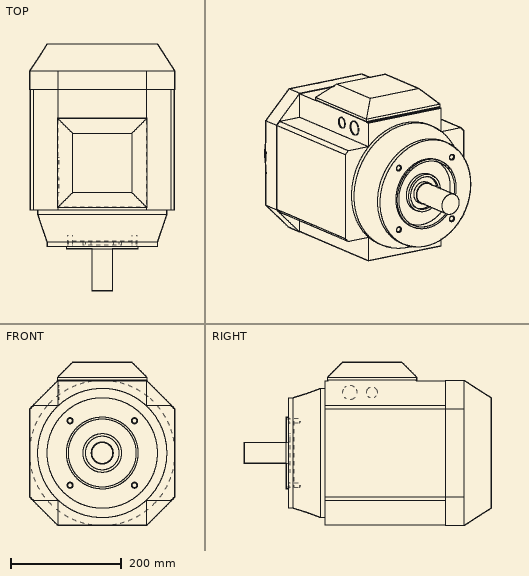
import cadquery as cq
import math


shaft_end_y = -80.0
spigot_height = 4.0
flange_back_y = 8.0
collar_front_y = 58.0
body_front_y = 66.0
cover_front_y = 284.0
cover_cone_y = 318.0
motor_back_y = 367.0

body_half_size = 130.5
slab_half_width = 80.0
cross_half_height = 86.0
cross_chamfer = 6.5

cover_half_size = 131.5
cover_corner_cut = cover_half_size - slab_half_width
cover_end_radius = 100.0

collar_radius = 117.0
flange_radius = 100.0
spigot_radius = 65.0
spigot_recess_radius = 61.5
spigot_recess_depth = 14.0
hub_radius = 35.0
hub_bore_radius = 30.5
hub_height = 7.0
hub_bore_depth = 5.0

bolt_circle_radius = 82.5
bolt_hole_count = 4
first_bolt_angle = 45.0
bolt_hole_diameter = 8.5
bolt_hole_mouth_diameter = 11.0
bolt_hole_depth = 20.0
drill_point_half_angle = 59.0

shaft_radius = 19.0
shaft_collar_radius = 20.0
shaft_collar_front_y = 0.0

lid_half_size = 81.0
lid_center_y = 151.5
lid_rim_bottom_z = 132.0
lid_rim_height = 5.0
lid_top_z = 164.5
lid_slope_angle = 45.0

knockouts = ((151.0, 10.0), (111.0, 13.0))
knockout_z = 109.5
knockout_depth = 2.0


def box_between(x_half, y_start, y_end, z_low, z_high):
    """Block centred on X = 0."""
    return cq.Workplane("XY").box(
        2 * x_half, y_end - y_start, z_high - z_low, centered=(True, False, False)
    ).translate((0, y_start, z_low))


def cylinder_between(radius, y_start, y_end):
    """Cylinder on the shaft axis."""
    return cq.Workplane("XZ", origin=(0, y_end, 0)).circle(radius).extrude(y_end - y_start)


def revolve_about_shaft(profile):
    """Solid of revolution from (radius, y) points."""
    return cq.Workplane("XY").polyline(profile).close().revolve(360, (0, 0, 0), (0, 1, 0))


def make_body():
    upright = box_between(slab_half_width, body_front_y, cover_front_y, -body_half_size, body_half_size)
    across = box_between(
        body_half_size, body_front_y, cover_front_y, -cross_half_height, cross_half_height
    ).edges("|Y").chamfer(cross_chamfer)
    return upright.union(across)


def make_fan_cover():
    octagon = box_between(
        cover_half_size, cover_front_y, cover_cone_y, -cover_half_size, cover_half_size
    ).edges("|Y").chamfer(cover_corner_cut)
    cone = revolve_about_shaft([
        (0, cover_cone_y),
        (cover_half_size, cover_cone_y),
        (cover_end_radius, motor_back_y),
        (0, motor_back_y),
    ])
    return octagon.union(cone)


def make_end_shield():
    recess_floor_y = spigot_recess_depth - spigot_height
    hub_face_y = recess_floor_y - hub_height
    return revolve_about_shaft([
        (0, body_front_y),
        (collar_radius, body_front_y),
        (collar_radius, collar_front_y),
        (flange_radius, flange_back_y),
        (flange_radius, 0),
        (spigot_radius, 0),
        (spigot_radius, -spigot_height),
        (spigot_recess_radius, -spigot_height),
        (spigot_recess_radius, recess_floor_y),
        (hub_radius, recess_floor_y),
        (hub_radius, hub_face_y),
        (hub_bore_radius, hub_face_y),
        (hub_bore_radius, hub_face_y + hub_bore_depth),
        (0, hub_face_y + hub_bore_depth),
    ])


def make_shaft():
    collar = cylinder_between(shaft_collar_radius, shaft_collar_front_y, body_front_y)
    return cylinder_between(shaft_radius, shaft_end_y, body_front_y).union(collar)


def make_terminal_box():
    neck = box_between(
        slab_half_width,
        lid_center_y - slab_half_width,
        lid_center_y + slab_half_width,
        body_half_size,
        lid_rim_bottom_z,
    )
    lid_size = 2 * lid_half_size
    rim = cq.Workplane("XY", origin=(0, lid_center_y, lid_rim_bottom_z)).rect(lid_size, lid_size)
    rim = rim.extrude(lid_rim_height)
    slope_height = lid_top_z - lid_rim_bottom_z - lid_rim_height
    lid = rim.faces(">Z").workplane().rect(lid_size, lid_size).extrude(slope_height, taper=lid_slope_angle)
    return neck.union(lid)


def make_bolt_holes():
    hole_radius = bolt_hole_diameter / 2
    mouth_radius = bolt_hole_mouth_diameter / 2
    point_length = hole_radius / math.tan(math.radians(drill_point_half_angle))
    hole = revolve_about_shaft([
        (0, 0),
        (mouth_radius, 0),
        (hole_radius, mouth_radius - hole_radius),
        (hole_radius, bolt_hole_depth),
        (0, bolt_hole_depth + point_length),
    ])
    holes = cq.Workplane("XY")
    for index in range(bolt_hole_count):
        angle = math.radians(first_bolt_angle) + index * math.tau / bolt_hole_count
        x = bolt_circle_radius * math.cos(angle)
        z = bolt_circle_radius * math.sin(angle)
        holes = holes.add(hole.translate((x, 0, z)))
    return holes.combine()


def make_knockout(y, radius):
    side_plane = cq.Workplane("YZ", origin=(-slab_half_width, y, knockout_z))
    return side_plane.circle(radius).extrude(knockout_depth)


result = make_body()
result = result.union(make_fan_cover())
result = result.union(make_end_shield())
result = result.union(make_shaft())
result = result.union(make_terminal_box())
result = result.cut(make_bolt_holes())
for knockout_y, knockout_radius in knockouts:
    result = result.cut(make_knockout(knockout_y, knockout_radius))